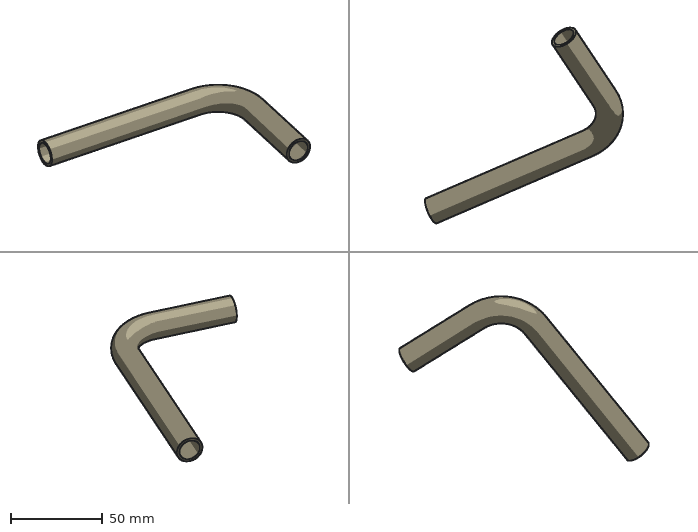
import cadquery as cq

length_y = 127.5
length_x = 77.5

outer_diameter = 15.0
inner_diameter = 12.0
bend_radius = 23.0

bend_extent = bend_radius + outer_diameter / 2
long_leg = length_y - bend_extent
short_leg = length_x - bend_extent

centreline = (
    cq.Workplane("XY")
    .lineTo(0, long_leg)
    .radiusArc((bend_radius, long_leg + bend_radius), bend_radius)
    .lineTo(bend_radius + short_leg, long_leg + bend_radius)
)

result = (
    cq.Workplane("XZ")
    .circle(outer_diameter / 2)
    .circle(inner_diameter / 2)
    .sweep(centreline)
)